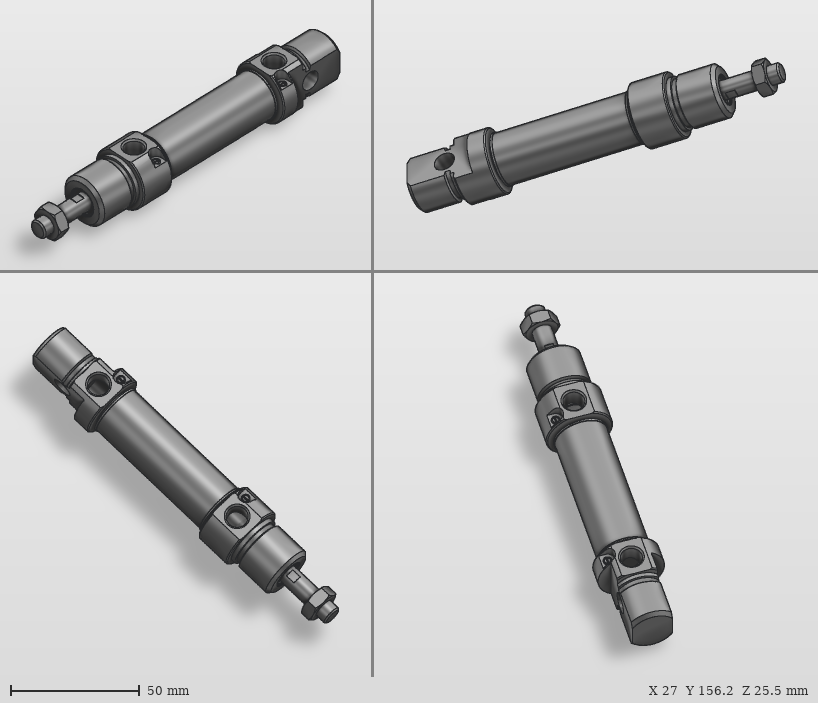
import cadquery as cq
import math


housing_length = 132.0
front_block_start = 20.3
block_length = 15.6
rear_block_end = 112.0
front_block_end = front_block_start + block_length
rear_block_start = rear_block_end - block_length
neck_gap = 1.1
rim_length = 0.8
thread_start = 16.6
collar_start = 18.4
lug_collar_end = rear_block_end + 1.6
lug_thread_start = 116.2
groove_taper = 0.6

block_diameter = 27.0
block_chamfer = 0.5
port_flat_height = 12.0
thread_diameter = 22.0
groove_diameter = 19.8
end_chamfer = 1.5
tube_diameter = 21.3
rim_diameter = 22.0
neck_diameter = 17.8
lug_width = 16.3
lug_flat_length = 28.0
pivot_hole_diameter = 8.5
pivot_hole_y = housing_length - 16.0

rod_diameter = 8.0
cushion_diameter = 10.0

port_diameter = 8.57
port_mouth_diameter = 10.0
port_mouth_depth = (port_mouth_diameter - port_diameter) / 2
front_port_y = (front_block_start + front_block_end) / 2
rear_port_y = (rear_block_start + rear_block_end) / 2
rear_bore_diameter = cushion_diameter
rear_bore_overrun = 5.5

screw_x = 8.5
screw_offset_from_port = 3.8
screw_ys = (front_port_y + screw_offset_from_port, rear_port_y - screw_offset_from_port)
pocket_diameter = 6.0
pocket_floor_z = 7.5
screw_hole_diameter = 3.5
screw_hole_depth = 4.0
screw_diameter = 3.4
screw_top_diameter = 2.46
screw_chamfer = (screw_diameter - screw_top_diameter) / 2
screw_slot_width = 0.5
screw_slot_depth = 0.5

rod_tip_y = housing_length - 156.2
rod_tip_chamfer = 0.7
cushion_start = 24.6
cushion_nose_length = 0.8
cushion_nose_diameter = 9.1
cushion_taper_length = 1.6
cushion_end = front_block_end
wrench_flat_size = 7.2
wrench_flat_start = -4.8
wrench_flat_end = -0.7
hex_across_flats = 13.0
hex_start = -19.2
hex_length = 5.2
hex_sides = 6
hex_chamfer_angle = 30.0
seal_recess_diameter = 12.0
seal_recess_depth = 0.7
seal_mouth_chamfer = 0.3
seal_lip_diameter = 11.0
seal_lip_depth = 1.5


def revolved(profile):
    """Solid turned about the Y axis from (radius, y) points; its ends close on the axis."""
    points = [(0, profile[0][1]), *profile, (0, profile[-1][1])]
    return cq.Workplane("XY").polyline(points).close().revolve(360, (0, 0, 0), (0, 1, 0))


def cylinder_y(diameter, start, end):
    return revolved([(diameter / 2, start), (diameter / 2, end)])


def cylinder_z(diameter, x, y, bottom, top):
    return cq.Workplane("XY", origin=(x, y, bottom)).circle(diameter / 2).extrude(top - bottom)


def block(start, end):
    """Round end block with broken edges and the flat that carries the port."""
    radius = block_diameter / 2
    body = cylinder_y(block_diameter, start, end).faces("<Y or >Y").chamfer(block_chamfer)
    above_flat = cq.Workplane("XY").box(
        block_diameter, end - start, radius, centered=(True, False, False)
    )
    return body.cut(above_flat.translate((0, start, port_flat_height)))


def turned_core():
    """Threaded neck, necked-in tube and threaded lug in one turned profile."""
    thread = thread_diameter / 2
    groove = groove_diameter / 2
    neck = neck_diameter / 2
    rim = rim_diameter / 2
    tube = tube_diameter / 2
    front_rim = front_block_end + neck_gap
    rear_rim = rear_block_start - neck_gap
    return revolved([
        (thread - end_chamfer, 0),
        (thread, end_chamfer),
        (thread, thread_start - groove_taper),
        (groove, thread_start),
        (groove, collar_start),
        (thread, collar_start),
        (thread, front_block_start),
        (neck, front_block_start),
        (neck, front_rim),
        (rim, front_rim),
        (rim, front_rim + rim_length),
        (tube, front_rim + rim_length),
        (tube, rear_rim - rim_length),
        (rim, rear_rim - rim_length),
        (rim, rear_rim),
        (neck, rear_rim),
        (neck, rear_block_end),
        (thread, rear_block_end),
        (thread, lug_collar_end),
        (groove, lug_collar_end),
        (groove, lug_thread_start - groove_taper),
        (thread, lug_thread_start),
        (thread, housing_length - end_chamfer),
        (thread - end_chamfer, housing_length),
    ])


def lug_side_cutter(side):
    cutter = cq.Workplane("XY").box(block_diameter, lug_flat_length, 2 * block_diameter)
    x = side * (lug_width + block_diameter) / 2
    return cutter.translate((x, housing_length - lug_flat_length / 2, 0))


def port_cutter(y):
    """Port hole from the flat down to the axis, with a 45 degree mouth."""
    hole = cylinder_z(port_diameter, 0, y, 0, port_flat_height)
    mouth = (
        cq.Workplane("XY", origin=(0, y, port_flat_height))
        .circle(port_mouth_diameter / 2)
        .workplane(offset=-port_mouth_depth)
        .circle(port_diameter / 2)
        .loft()
    )
    return hole.union(mouth)


def screw_pocket_cutter(y):
    """Round-ended pocket open toward +X, with the screw hole in its floor."""
    round_end = cylinder_z(pocket_diameter, screw_x, y, pocket_floor_z, block_diameter / 2)
    opening = cq.Workplane("XY").box(
        block_diameter / 2, pocket_diameter, block_diameter / 2, centered=(False, True, False)
    )
    hole_bottom = pocket_floor_z - screw_hole_depth
    hole = cylinder_z(screw_hole_diameter, screw_x, y, hole_bottom, pocket_floor_z)
    return round_end.union(opening.translate((screw_x, y, pocket_floor_z))).union(hole)


def rod_inside_housing():
    """Rod and tapered cushion sleeve, from the neck face to the tube end of the front block."""
    cushion_taper_start = cushion_start + cushion_nose_length
    return revolved([
        (rod_diameter / 2, 0),
        (rod_diameter / 2, cushion_start),
        (cushion_nose_diameter / 2, cushion_taper_start),
        (cushion_diameter / 2, cushion_taper_start + cushion_taper_length),
        (cushion_diameter / 2, cushion_end),
    ])


def seal_recess_cutter():
    """Stepped recess around the rod in the neck face, with a bevelled mouth."""
    recess = seal_recess_diameter / 2
    lip = seal_lip_diameter / 2
    return revolved([
        (recess + seal_mouth_chamfer, 0),
        (recess, seal_mouth_chamfer),
        (recess, seal_recess_depth),
        (lip, seal_recess_depth),
        (lip, seal_lip_depth),
    ])


def make_housing():
    body = turned_core()
    body = body.union(block(front_block_start, front_block_end))
    body = body.union(block(rear_block_start, rear_block_end))
    for side in (-1, 1):
        body = body.cut(lug_side_cutter(side))
    pivot_hole = cq.Workplane("YZ").center(pivot_hole_y, 0).circle(pivot_hole_diameter / 2)
    body = body.cut(pivot_hole.extrude(block_diameter / 2, both=True))
    for y in (front_port_y, rear_port_y):
        body = body.cut(port_cutter(y))
    for y in screw_ys:
        body = body.cut(screw_pocket_cutter(y))
    rear_bore = cylinder_y(
        rear_bore_diameter, rear_port_y - rear_bore_overrun, rear_port_y + rear_bore_overrun
    )
    body = body.cut(rear_bore)
    body = body.cut(seal_recess_cutter())
    return body.cut(rod_inside_housing())


def make_hexagon():
    """Nut-shaped hexagon on the rod, its corners turned off at both ends."""
    corner_diameter = hex_across_flats / math.cos(math.pi / hex_sides)
    prism = (
        cq.Workplane("XZ", origin=(0, hex_start + hex_length, 0))
        .polygon(hex_sides, corner_diameter)
        .extrude(hex_length)
    )
    corner = corner_diameter / 2
    face = hex_across_flats / 2
    depth = (corner - face) * math.tan(math.radians(hex_chamfer_angle))
    envelope = revolved([
        (face, hex_start),
        (corner, hex_start + depth),
        (corner, hex_start + hex_length - depth),
        (face, hex_start + hex_length),
    ])
    return prism.intersect(envelope)


def make_rod():
    rod = cylinder_y(rod_diameter, rod_tip_y, 0).faces("<Y").chamfer(rod_tip_chamfer)
    flat_length = wrench_flat_end - wrench_flat_start
    for side in (-1, 1):
        cutter = cq.Workplane("XY").box(rod_diameter, flat_length, wrench_flat_size)
        rod = rod.cut(cutter.translate(
            (0, wrench_flat_start + flat_length / 2, side * wrench_flat_size)
        ))
    return rod.union(rod_inside_housing()).union(make_hexagon())


def make_screw(y):
    screw = cylinder_z(
        screw_diameter, screw_x, y, pocket_floor_z - screw_hole_depth, pocket_floor_z
    )
    screw = screw.faces(">Z").chamfer(screw_chamfer)
    slot = cq.Workplane("XY").box(screw_slot_width, screw_diameter, 2 * screw_slot_depth)
    return screw.cut(slot.translate((screw_x, y, pocket_floor_z)))


housing = make_housing()
rod = make_rod()
screws = [make_screw(y) for y in screw_ys]

result = cq.Compound.makeCompound([housing.val(), rod.val(), *(screw.val() for screw in screws)])